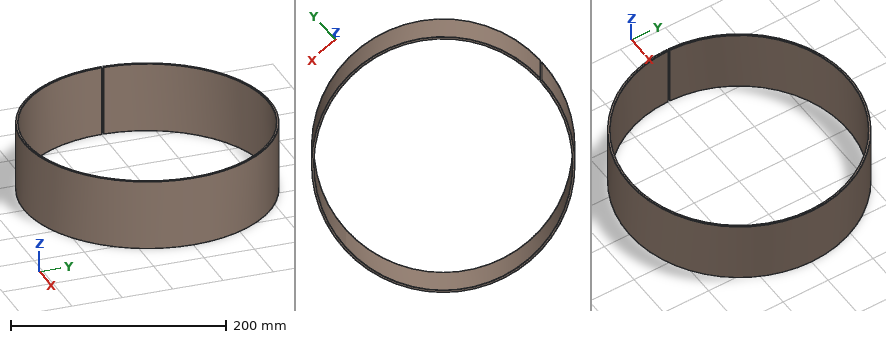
import cadquery as cq

outer_diameter = 245.0
wall_thickness = 2.5
height = 70.0
rim_chamfer = 0.5
slit_width = 2.2

outer_radius = outer_diameter / 2
inner_radius = outer_radius - wall_thickness

band = (
    cq.Workplane("XY")
    .circle(outer_radius)
    .circle(inner_radius)
    .extrude(height)
    .faces("<Z or >Z")
    .edges()
    .chamfer(rim_chamfer)
)

slit_depth = 2 * wall_thickness
slit = (
    cq.Workplane("XY")
    .box(slit_depth, slit_width, height, centered=(True, False, False))
    .translate((-outer_radius + wall_thickness / 2, 0, 0))
)

result = band.cut(slit)